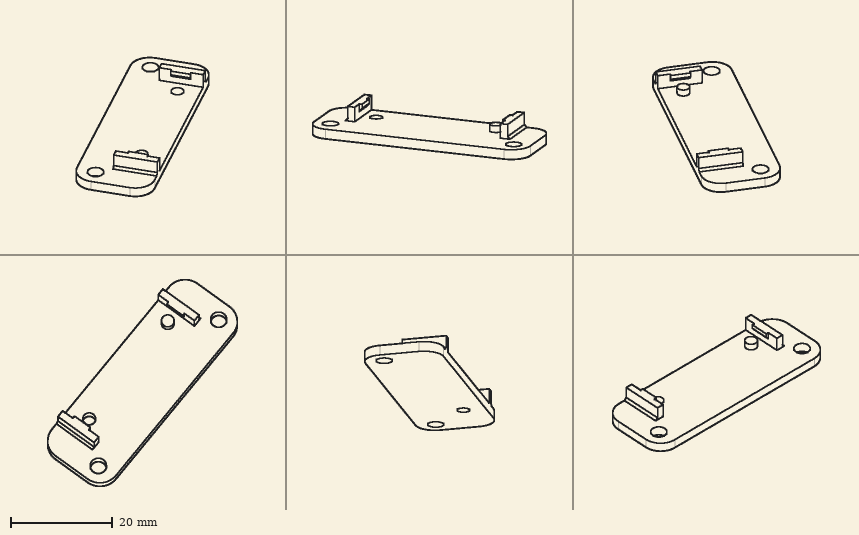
import cadquery as cq

plate_width = 16.0
plate_length = 46.0
plate_thickness = 2.02
corner_radius = 4.0
total_height = 5.0

mount_hole_diameter = 3.2
mount_hole_side_offset = 4.0
mount_hole_end_offset = 3.5

locator_diameter = 2.55
locator_side_offset = 11.5
locator_end_offset = 10.25
pin_height = 1.4

wall_length = 9.0
wall_thickness = 1.5
wall_end_offset = 6.0
foot_chamfer = 0.5

lip_length = 4.0
lip_side_offset = 9.48
lip_depth = 0.55
lip_face_height = 0.87
lip_height = 1.55

half_width = plate_width / 2
half_length = plate_length / 2
mount_x = mount_hole_side_offset - half_width
mount_y = half_length - mount_hole_end_offset
locator_x = locator_side_offset - half_width
locator_y = half_length - locator_end_offset


def extrude_along_x(profile, x_start, length):
    """Extrude a closed (Y, Z) profile in +X from x_start."""
    return cq.Workplane("YZ", origin=(x_start, 0, 0)).polyline(profile).close().extrude(length)


def make_plate():
    plate = (
        cq.Workplane("XY")
        .rect(plate_width, plate_length)
        .extrude(plate_thickness)
        .edges("|Z")
        .fillet(corner_radius)
    )
    mount_holes = (
        cq.Workplane("XY")
        .pushPoints([(mount_x, mount_y), (mount_x, -mount_y)])
        .circle(mount_hole_diameter / 2)
        .extrude(plate_thickness)
    )
    locating_hole = (
        cq.Workplane("XY")
        .center(locator_x, locator_y)
        .circle(locator_diameter / 2)
        .extrude(plate_thickness)
    )
    return plate.cut(mount_holes).cut(locating_hole)


def make_pin():
    return (
        cq.Workplane("XY")
        .center(locator_x, -locator_y)
        .circle(locator_diameter / 2)
        .extrude(plate_thickness + pin_height)
    )


def make_clip():
    """Clip at the +Y end: a wall with a chamfered foot outside and a lip inside."""
    outer_y = half_length - wall_end_offset
    inner_y = outer_y - wall_thickness
    lip_y = inner_y - lip_depth
    wall_profile = [
        (inner_y, plate_thickness),
        (outer_y + foot_chamfer, plate_thickness),
        (outer_y, plate_thickness + foot_chamfer),
        (outer_y, total_height),
        (inner_y, total_height),
    ]
    lip_profile = [
        (inner_y, total_height),
        (lip_y, total_height),
        (lip_y, total_height - lip_face_height),
        (inner_y, total_height - lip_height),
    ]
    wall = extrude_along_x(wall_profile, half_width - wall_length, wall_length)
    lip = extrude_along_x(lip_profile, lip_side_offset - half_width, lip_length)
    return wall.union(lip)


clip = make_clip()
result = make_plate().union(make_pin()).union(clip).union(clip.mirror("XZ"))